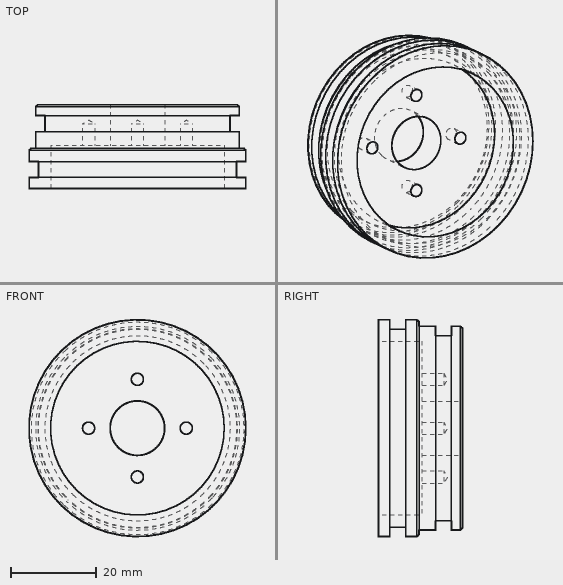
import cadquery as cq
import math


width = 19.65
flange_width = 2.65
groove_width = 3.7
large_section_width = 9.5
middle_band_width = 3.85
recess_depth = 10.15

large_radius = 25.4
small_radius = 23.9
groove_depth = 2.2
recess_radius = 20.3
bore_radius = 6.35

edge_chamfer = 0.5

hole_count = 4
hole_circle_radius = 11.45
hole_diameter = 2.85
hole_depth = 5.1
drill_tip_angle = 118.0


def disc(radius, start, length):
    """Cylinder on the Y axis; start is measured from the open face."""
    return cq.Workplane("XZ", origin=(0, start, 0)).circle(radius).extrude(-length)


def groove(section_radius, start):
    """Ring to cut from a section to leave a square groove."""
    ring = disc(section_radius, start, groove_width)
    return ring.cut(disc(section_radius - groove_depth, start, groove_width))


def drilled_hole():
    """Blind hole on the Y axis with a conical tip, starting at the recess floor."""
    hole_radius = hole_diameter / 2
    tip_length = hole_radius / math.tan(math.radians(drill_tip_angle / 2))
    bottom = recess_depth + hole_depth
    return (
        cq.Workplane("XY")
        .moveTo(0, recess_depth)
        .lineTo(hole_radius, recess_depth)
        .lineTo(hole_radius, bottom)
        .lineTo(0, bottom + tip_length)
        .close()
        .revolve(360, (0, 0, 0), (0, 1, 0))
    )


large_section = disc(large_radius, 0, large_section_width).faces(">Y").edges().chamfer(edge_chamfer)
small_section = disc(small_radius, 0, width).faces(">Y").edges().chamfer(edge_chamfer)
body = large_section.union(small_section)

body = body.cut(groove(large_radius, flange_width))
body = body.cut(groove(small_radius, large_section_width + middle_band_width))

body = body.cut(disc(recess_radius, 0, recess_depth))
body = body.cut(disc(bore_radius, 0, width))

for index in range(hole_count):
    angle = index * 360 / hole_count
    hole = drilled_hole().translate((hole_circle_radius, 0, 0))
    body = body.cut(hole.rotate((0, 0, 0), (0, 1, 0), angle))

result = body